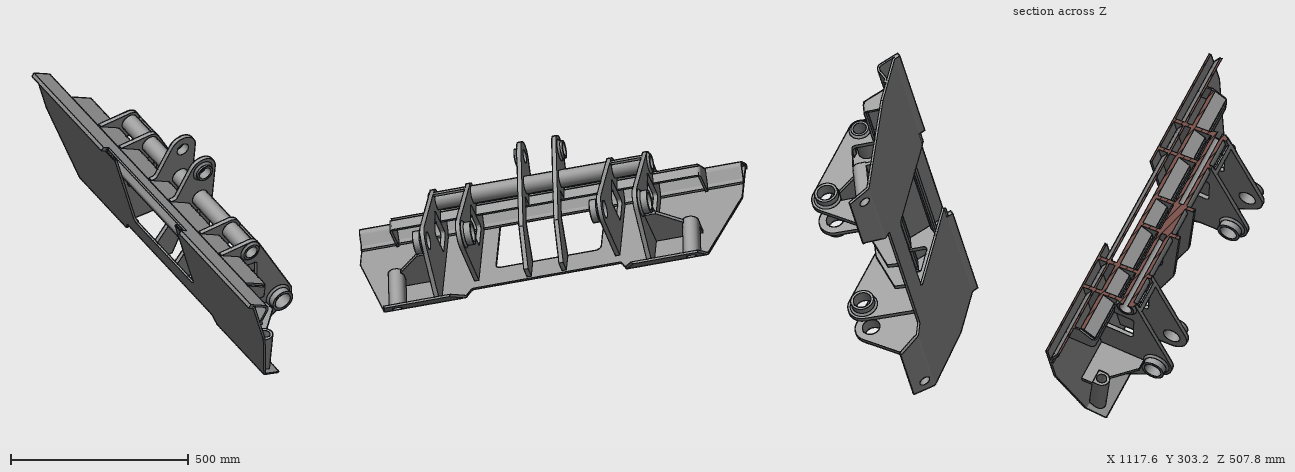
import cadquery as cq
import math


OVERALL_WIDTH = 1117.6
OVERALL_DEPTH = 303.17
OVERALL_HEIGHT = 507.83
SHEET = 6.35
LUG_PLATE = 12.7
INNER_BEND = 6.35
OUTER_BEND = INNER_BEND + SHEET
WELD_LEG = 6.35

FACE_LEAN = math.radians(13.5)
FLANGE_SLOPE = math.radians(31.5)
FRAME_TILT = math.radians(5.2)
FACE_UP = (-math.sin(FACE_LEAN), math.cos(FACE_LEAN))
FACE_BACK = (math.cos(FACE_LEAN), math.sin(FACE_LEAN))
FLANGE_BACK = (math.cos(FLANGE_SLOPE), -math.sin(FLANGE_SLOPE))
FLANGE_NORMAL = (math.sin(FLANGE_SLOPE), math.cos(FLANGE_SLOPE))
FRAME_BACK = (math.cos(FRAME_TILT), -math.sin(FRAME_TILT))
FRAME_UP = (math.sin(FRAME_TILT), math.cos(FRAME_TILT))

FACE_POINT = (60.2, 227.5)
LIP_TIP = (0.0, 425.4)
TOE_TIP_Y = 163.5
SIDE_BREAK_Z = 275.6
SIDE_FOOT_X = 477.0
SIDE_FOOT_Z = 44.0
TOE_OUTER_X = 457.8
NOTCH_TOP_Z = 68.0
NOTCH_HALF_WIDTH = 218.0
NOTCH_FOOT = (236.0, 34.0)
TOE_CORNER = (267.0, 3.0)
NOTCH_FILLET = 10.0
WINDOW_HALF_WIDTH = 154.0
WINDOW_BOTTOM_Z = 143.5
WINDOW_FILLET = 15.9
WINDOW_TOP_ROUND = 6.35
LIP_GAP_HALF_WIDTH = 200.0
LIP_GAP_DEPTH = 21.0

FLANGE_LENGTH = 76.8
CORNER_INNER_BEND = 12.7
CORNER_OUTER_BEND = CORNER_INNER_BEND + SHEET
FOOT_Z = 336.5
BEAM_TOP_FRONT_Y = 61.0
BEAM_HALF_WIDTH = 454.9
BEAM_TOP_BACK_Y = 127.0
BEAM_BOTTOM_BACK = (126.0, 322.0)

TUBE_CENTER = (163.2, 365.9)
TUBE_RADIUS = 25.4
TUBE_BORE_RADIUS = 19.05
EAR_TOP_RADIUS = 33.6
EAR_PIN_RADIUS = 25.4
EAR_BOSS_RADIUS = 33.0
EAR_BOSS_LENGTH = 25.4
EAR_FOOT_RADIUS = 46.7
EAR_PIN = (OVERALL_DEPTH - EAR_FOOT_RADIUS, 139.4)
EAR_TOE_Y = 142.0
INNER_EAR_TOE_Z = 101.0
EAR_INNER_FACES = (199.9, 304.5)
EAR_WINDOW = [(187.0, 312.0), (72.5, 321.5), (92.0, 234.0), (184.0, 225.5)]
EAR_WINDOW_FILLET = 10.0

LUG_INNER_FACE = 45.0
LUG_TOP_RADIUS = 42.6
LUG_PIN = (172.8, OVERALL_HEIGHT - LUG_TOP_RADIUS)
LUG_PIN_RADIUS = 19.05
LUG_BOSS_LENGTH = 12.7
LUG_TOE_Y = 84.0
LUG_TOE_FILLET = 10.0
LUG_FRONT_KNEE = (156.5, 228.0)
LUG_KNEE_FILLET = 25.0
LUG_BACK_KNEE = (191.0, 191.0)
LUG_HEEL = (137.0, 76.0)
LUG_FACE_TOP_Z = 140.0
LUG_FRONT_TOP = (164.0, 320.0)

BAR_LENGTH = 16.0
BAR_OFFSET = 14.0

LOCK_X = 430.5
LOCK_TOP = (138.0, 141.5)
LOCK_BORE_RADIUS = 14.3
LOCK_RADIUS = 23.0
LOCK_FRONT = 18.5
LOCK_LENGTH = 150.0
LOCK_STEP = 3.0
GUSSET_THICKNESS = 9.525
GUSSET_BACK = 80.0
GUSSET_FRONT = 52.0
GUSSET_SHOULDER_X = 349.0

CUT_REACH = 600.0


def move(point, direction, distance):
    return (point[0] + direction[0] * distance, point[1] + direction[1] * distance)


def meet(p, d, q, e):
    """Crossing of the line through p along d with the line through q along e."""
    cross = d[0] * e[1] - d[1] * e[0]
    along = ((q[0] - p[0]) * e[1] - (q[1] - p[1]) * e[0]) / cross
    return move(p, d, along)


def unit(p, q):
    length = math.dist(p, q)
    return ((q[0] - p[0]) / length, (q[1] - p[1]) / length)


def tangent_normal(p, p_radius, q, q_radius):
    """Unit normal of the line touching both circles, on the left going from p to q."""
    heading = math.atan2(q[1] - p[1], q[0] - p[0])
    swing = math.acos((p_radius - q_radius) / math.dist(p, q))
    return (math.cos(heading + swing), math.sin(heading + swing))


def arc_middle(center, radius, first, second):
    """Point of a circle halfway between two unit directions."""
    return move(center, unit((0, 0), (first[0] + second[0], first[1] + second[1])), radius)


def profile(x_start):
    """Sketch plane with local axes Y, Z, extruding toward +X."""
    return cq.Workplane("YZ", origin=(x_start, 0, 0))


def prism(points, x_start, x_end):
    return profile(x_start).polyline(points).close().extrude(x_end - x_start)


def wide_prism(points, half_width):
    return prism(points, -half_width, half_width)


def disc(center, radius, x_start, x_end):
    return profile(x_start).center(*center).circle(radius).extrude(x_end - x_start)


def both_sides(shape):
    return shape.union(shape.mirror("YZ"))


def round_edge(body, point, radius):
    """Round the edge along X that passes nearest to a profile point."""
    return body.edges("|X").edges(cq.selectors.NearestToPointSelector((0, *point))).fillet(radius)


LIP_BEND = meet(LIP_TIP, FLANGE_BACK, FACE_POINT, FACE_UP)
TOE_TIP = (TOE_TIP_Y, 0.0)
TOE_BEND = meet(TOE_TIP, FLANGE_BACK, FACE_POINT, FACE_UP)
FACE_INNER = move(FACE_POINT, FACE_BACK, SHEET)
LIP_TIP_INNER = move(LIP_TIP, FLANGE_NORMAL, SHEET)
LIP_BEND_INNER = meet(LIP_TIP_INNER, FLANGE_BACK, FACE_INNER, FACE_UP)
TOE_TIP_INNER = move(TOE_TIP, FLANGE_NORMAL, SHEET)
TOE_BEND_INNER = meet(TOE_TIP_INNER, FLANGE_BACK, FACE_INNER, FACE_UP)
FLANGE_TIP = move(LIP_TIP_INNER, FLANGE_NORMAL, SHEET)
FLANGE_CORNER = move(FLANGE_TIP, FLANGE_BACK, FLANGE_LENGTH)
FLANGE_CORNER_INNER = move(move(FLANGE_CORNER, FLANGE_NORMAL, -SHEET), FLANGE_BACK, -SHEET)
FOOT_BEND = meet(FLANGE_CORNER_INNER, FLANGE_NORMAL, FACE_INNER, FACE_UP)
FOOT_END = move(FACE_INNER, FACE_UP, (FOOT_Z - FACE_INNER[1]) / FACE_UP[1])
FOOT_END_BACK = move(FOOT_END, FACE_BACK, SHEET)
FOOT_BEND_BACK = meet(FLANGE_CORNER, FLANGE_NORMAL, FOOT_END_BACK, FACE_UP)


def on_flange_top(y):
    return move(FLANGE_TIP, FLANGE_BACK, (y - FLANGE_TIP[0]) / FLANGE_BACK[0])


def inside_face_plate(z):
    """Point in the middle of the face plate's thickness at a height."""
    middle = move(FACE_POINT, FACE_BACK, SHEET / 2)
    return move(middle, FACE_UP, (z - middle[1]) / FACE_UP[1])


def face_plate():
    """Bent sheet: top lip, leaning face and bottom toe, trimmed to its front outline."""
    half = OVERALL_WIDTH / 2
    body = wide_prism(
        [
            LIP_TIP,
            LIP_BEND,
            TOE_BEND,
            TOE_TIP,
            TOE_TIP_INNER,
            TOE_BEND_INNER,
            LIP_BEND_INNER,
            LIP_TIP_INNER,
        ],
        half,
    )
    for point, radius in (
        (LIP_BEND, INNER_BEND),
        (LIP_BEND_INNER, OUTER_BEND),
        (TOE_BEND, OUTER_BEND),
        (TOE_BEND_INNER, INNER_BEND),
    ):
        body = round_edge(body, point, radius)

    below = -SHEET
    side = (
        cq.Workplane("XZ")
        .polyline([
            (half, SIDE_BREAK_Z),
            (SIDE_FOOT_X, SIDE_FOOT_Z),
            (TOE_OUTER_X, 0),
            (TOE_OUTER_X, below),
            (half + SHEET, below),
            (half + SHEET, SIDE_BREAK_Z),
        ])
        .close()
        .extrude(-CUT_REACH)
    )
    notch = (
        cq.Workplane("XZ")
        .polyline([
            (NOTCH_HALF_WIDTH, NOTCH_TOP_Z),
            NOTCH_FOOT,
            TOE_CORNER,
            (TOE_CORNER[0], below),
            (-TOE_CORNER[0], below),
            (-TOE_CORNER[0], TOE_CORNER[1]),
            (-NOTCH_FOOT[0], NOTCH_FOOT[1]),
            (-NOTCH_HALF_WIDTH, NOTCH_TOP_Z),
        ])
        .close()
        .extrude(-CUT_REACH)
        .edges("|Y and >Z")
        .fillet(NOTCH_FILLET)
    )
    return body.cut(both_sides(side)).cut(notch)


def face_window():
    """Cutter for the opening in the face, square to the face and open at its top."""
    plane = cq.Plane(
        origin=(0, *FACE_POINT),
        xDir=(1, 0, 0),
        normal=(0, -FACE_BACK[0], -FACE_BACK[1]),
    )
    top = math.dist(FACE_POINT, LIP_BEND)
    bottom = (WINDOW_BOTTOM_Z - FACE_POINT[1]) / FACE_UP[1]
    height = top + 2 * WINDOW_FILLET - bottom
    opening = (
        cq.Workplane(plane)
        .center(0, bottom + height / 2)
        .rect(2 * WINDOW_HALF_WIDTH, height)
        .extrude(2 * SHEET, both=True)
        .edges(cq.selectors.ParallelDirSelector(plane.zDir))
        .fillet(WINDOW_FILLET)
    )
    flare_width = WINDOW_HALF_WIDTH + WINDOW_TOP_ROUND
    flare_bottom = top - WINDOW_TOP_ROUND
    flare = (
        cq.Workplane(plane)
        .center(0, top)
        .rect(2 * flare_width, 2 * WINDOW_TOP_ROUND)
        .extrude(2 * SHEET, both=True)
    )
    rounds = (
        cq.Workplane(plane)
        .pushPoints([(-flare_width, flare_bottom), (flare_width, flare_bottom)])
        .circle(WINDOW_TOP_ROUND)
        .extrude(2 * SHEET, both=True)
    )
    return opening.union(flare.cut(rounds))


def top_flange():
    """Bent sheet: sloping flange, square return leg and a foot lying on the face plate."""
    body = wide_prism(
        [
            LIP_TIP_INNER,
            FLANGE_TIP,
            FLANGE_CORNER,
            FOOT_BEND_BACK,
            FOOT_END_BACK,
            FOOT_END,
            FOOT_BEND,
            FLANGE_CORNER_INNER,
        ],
        OVERALL_WIDTH / 2,
    )
    for point, radius in (
        (FLANGE_CORNER, CORNER_OUTER_BEND),
        (FLANGE_CORNER_INNER, CORNER_INNER_BEND),
        (FOOT_BEND, OUTER_BEND),
        (FOOT_BEND_BACK, INNER_BEND),
    ):
        body = round_edge(body, point, radius)
    return body


def lip_gap():
    """Cutter that sets back the lip and flange edge across the middle."""
    clear = 2 * SHEET
    top = move(FLANGE_TIP, FLANGE_NORMAL, clear)
    front_top = move(top, FLANGE_BACK, -clear)
    back_top = move(top, FLANGE_BACK, LIP_GAP_DEPTH)
    drop = -2 * SHEET - clear
    return wide_prism(
        [front_top, back_top, move(back_top, FLANGE_NORMAL, drop), move(front_top, FLANGE_NORMAL, drop)],
        LIP_GAP_HALF_WIDTH,
    )


def box_beam():
    """Sloping top sheet over a bent tray that is open at the bottom."""
    front_top = on_flange_top(BEAM_TOP_FRONT_Y)
    back_top = on_flange_top(BEAM_TOP_BACK_Y)
    front_under = move(front_top, FLANGE_NORMAL, -SHEET)
    back_under = move(back_top, FLANGE_NORMAL, -SHEET)
    cover = wide_prism([front_top, back_top, back_under, front_under], BEAM_HALF_WIDTH - SHEET)

    leg_middle = move(FLANGE_CORNER, FLANGE_BACK, -SHEET / 2)
    tray_front_top = meet(leg_middle, FLANGE_NORMAL, front_under, FLANGE_BACK)
    tray_front = inside_face_plate(FOOT_Z)
    tray_knee = meet(leg_middle, FLANGE_NORMAL, tray_front, FACE_UP)
    tray_corner = meet(BEAM_BOTTOM_BACK, FRAME_BACK, FACE_INNER, FACE_UP)
    tray_top_back = meet(BEAM_BOTTOM_BACK, FRAME_UP, front_under, FLANGE_BACK)
    outline = [tray_front_top, tray_top_back, BEAM_BOTTOM_BACK, tray_corner, tray_front, tray_knee]
    tray = wide_prism(outline, BEAM_HALF_WIDTH)
    rear_middle = move(BEAM_BOTTOM_BACK, FRAME_UP, OUTER_BEND)
    for side in (-BEAM_HALF_WIDTH, BEAM_HALF_WIDTH):
        corner = cq.selectors.NearestToPointSelector((side, *rear_middle))
        tray = tray.edges(corner).fillet(OUTER_BEND)

    inner_bottom = move(move(BEAM_BOTTOM_BACK, FRAME_BACK, -SHEET), FRAME_UP, -SHEET)
    inner_top = meet(inner_bottom, FRAME_UP, front_under, FLANGE_BACK)
    hollow = [
        tray_front_top,
        inner_top,
        inner_bottom,
        move(tray_corner, FRAME_UP, -SHEET),
        tray_corner,
        tray_front,
        tray_knee,
    ]
    tray = tray.cut(wide_prism(hollow, BEAM_HALF_WIDTH - SHEET))
    return cover.union(tray)


EAR_BACK_NORMAL = tangent_normal(TUBE_CENTER, EAR_TOP_RADIUS, EAR_PIN, EAR_FOOT_RADIUS)
INNER_EAR_TOE = meet((0, INNER_EAR_TOE_Z), (1, 0), FACE_INNER, FACE_UP)
OUTER_EAR_TOE = meet((EAR_TOE_Y, 0), (0, 1), TOE_TIP_INNER, FLANGE_BACK)


def ear(x_start, foot):
    """Side plate carrying the lower pin and the cross tube; foot lists its lower end points."""
    top = (TUBE_CENTER[0], TUBE_CENTER[1] + EAR_TOP_RADIUS)
    toe_normal = tangent_normal(EAR_PIN, EAR_FOOT_RADIUS, foot[0], 0)
    flange_meet = meet(top, (1, 0), FLANGE_TIP, FLANGE_BACK)
    body = (
        profile(x_start)
        .moveTo(*top)
        .threePointArc(
            arc_middle(TUBE_CENTER, EAR_TOP_RADIUS, (0, 1), EAR_BACK_NORMAL),
            move(TUBE_CENTER, EAR_BACK_NORMAL, EAR_TOP_RADIUS),
        )
        .lineTo(*move(EAR_PIN, EAR_BACK_NORMAL, EAR_FOOT_RADIUS))
        .threePointArc(
            arc_middle(EAR_PIN, EAR_FOOT_RADIUS, EAR_BACK_NORMAL, toe_normal),
            move(EAR_PIN, toe_normal, EAR_FOOT_RADIUS),
        )
        .polyline([*foot, LIP_BEND_INNER, FLANGE_CORNER_INNER, flange_meet], includeCurrent=True)
        .close()
        .extrude(LUG_PLATE)
    )
    window = prism(EAR_WINDOW, x_start, x_start + LUG_PLATE).edges("|X").fillet(EAR_WINDOW_FILLET)
    return body.cut(window)


def center_lug(x_start):
    """Upper pin lug: passes behind the beam and sweeps forward to the face plate."""
    lug_back_top = move(LUG_PIN, FRAME_BACK, LUG_TOP_RADIUS)
    toe_height = TUBE_CENTER[1] + EAR_TOP_RADIUS
    toe = (LUG_TOE_Y, toe_height)
    flange_meet = meet(toe, (1, 0), FLANGE_TIP, FLANGE_BACK)
    rear_bottom = move(BEAM_BOTTOM_BACK, FRAME_BACK, -SHEET / 2)
    cover_middle = move(FLANGE_TIP, FLANGE_NORMAL, -SHEET / 2)
    rear_top = meet(rear_bottom, FRAME_UP, cover_middle, FLANGE_BACK)
    front_normal = tangent_normal(toe, 0, LUG_PIN, LUG_TOP_RADIUS)
    body = (
        profile(x_start)
        .moveTo(*move(LUG_PIN, front_normal, LUG_TOP_RADIUS))
        .threePointArc(move(LUG_PIN, (0, 1), LUG_TOP_RADIUS), lug_back_top)
        .lineTo(*LUG_BACK_KNEE)
        .lineTo(*LUG_HEEL)
        .lineTo(*inside_face_plate(LUG_HEEL[1]))
        .lineTo(*inside_face_plate(LUG_FACE_TOP_Z))
        .lineTo(*LUG_FRONT_KNEE)
        .lineTo(*LUG_FRONT_TOP)
        .lineTo(*rear_bottom)
        .lineTo(*rear_top)
        .lineTo(*flange_meet)
        .lineTo(*toe)
        .close()
        .extrude(LUG_PLATE)
    )
    body = round_edge(body, LUG_FRONT_KNEE, LUG_KNEE_FILLET)
    return round_edge(body, toe, LUG_TOE_FILLET)


def boss(center, radius, length, plate_face, outward):
    """Round boss on a plate face with a conical weld bead at its root."""
    sleeve = disc(center, radius, plate_face, plate_face + outward * length)
    bead = (
        profile(plate_face)
        .center(*center)
        .circle(radius + WELD_LEG)
        .workplane(offset=outward * WELD_LEG)
        .circle(radius)
        .loft()
    )
    return sleeve.union(bead)


def spacer_bar():
    """Flat bar between a pair of ears, flush with their back edges."""
    down = (EAR_BACK_NORMAL[1], -EAR_BACK_NORMAL[0])
    start = move(move(TUBE_CENTER, EAR_BACK_NORMAL, EAR_TOP_RADIUS), down, BAR_OFFSET)
    end = move(start, down, BAR_LENGTH)
    corners = [start, end, move(end, EAR_BACK_NORMAL, -SHEET), move(start, EAR_BACK_NORMAL, -SHEET)]
    return prism(corners, EAR_INNER_FACES[0] + LUG_PLATE, EAR_INNER_FACES[1])


LOCK_PLANE = cq.Plane(
    origin=(LOCK_X, *LOCK_TOP),
    xDir=(1, 0, 0),
    normal=(0, *FRAME_UP),
)


def lock_block():
    """U-shaped pin block and the corner gusset joining it to the outer ear."""
    block = (
        cq.Workplane(LOCK_PLANE)
        .workplane(offset=LOCK_STEP)
        .moveTo(LOCK_RADIUS, -LOCK_FRONT)
        .lineTo(LOCK_RADIUS, 0)
        .threePointArc((0, LOCK_RADIUS), (-LOCK_RADIUS, 0))
        .lineTo(-LOCK_RADIUS, -LOCK_FRONT)
        .close()
        .extrude(-LOCK_LENGTH)
    )
    ear_x = EAR_INNER_FACES[1] + LUG_PLATE / 2 - LOCK_X
    gusset = (
        cq.Workplane(LOCK_PLANE)
        .polyline([
            (ear_x, -GUSSET_FRONT),
            (LOCK_RADIUS, -GUSSET_FRONT),
            (LOCK_RADIUS, 0),
            (0, 0),
            (GUSSET_SHOULDER_X - LOCK_X, GUSSET_BACK),
            (ear_x, GUSSET_BACK),
        ])
        .close()
        .extrude(-GUSSET_THICKNESS)
    )
    toe_middle = move(TOE_TIP, FLANGE_NORMAL, SHEET / 2)
    far_back = move(toe_middle, FLANGE_BACK, OVERALL_DEPTH)
    far_front = move(toe_middle, FLANGE_BACK, -OVERALL_DEPTH)
    below_toe = prism(
        [
            far_front,
            far_back,
            move(far_back, FLANGE_NORMAL, -CUT_REACH),
            move(far_front, FLANGE_NORMAL, -CUT_REACH),
        ],
        0,
        OVERALL_WIDTH / 2,
    )
    return block.cut(below_toe).union(gusset)


def lock_bore():
    return cq.Workplane(LOCK_PLANE).circle(LOCK_BORE_RADIUS).extrude(-LOCK_LENGTH, both=True)


def build():
    inner_ear, outer_ear = EAR_INNER_FACES
    outer_face = outer_ear + LUG_PLATE
    tube_end = outer_face + WELD_LEG
    lug_outer_face = LUG_INNER_FACE + LUG_PLATE

    half = ear(inner_ear, [INNER_EAR_TOE]).union(ear(outer_ear, [OUTER_EAR_TOE, TOE_BEND_INNER]))
    half = half.union(center_lug(LUG_INNER_FACE))
    half = half.union(boss(EAR_PIN, EAR_BOSS_RADIUS, EAR_BOSS_LENGTH, outer_face, 1))
    half = half.union(boss(EAR_PIN, EAR_BOSS_RADIUS, EAR_BOSS_LENGTH, inner_ear, -1))
    half = half.union(boss(LUG_PIN, TUBE_RADIUS, LUG_BOSS_LENGTH, lug_outer_face, 1))
    half = half.union(boss(TUBE_CENTER, TUBE_RADIUS, WELD_LEG, outer_face, 1))
    half = half.union(disc(TUBE_CENTER, TUBE_RADIUS, 0, outer_face))
    half = half.union(spacer_bar()).union(lock_block())
    half = half.cut(disc(EAR_PIN, EAR_PIN_RADIUS, 0, CUT_REACH))
    half = half.cut(disc(LUG_PIN, LUG_PIN_RADIUS, 0, CUT_REACH))
    half = half.cut(disc(TUBE_CENTER, TUBE_BORE_RADIUS, lug_outer_face, tube_end))

    face = face_plate().cut(face_window())
    sheets = face.union(top_flange()).cut(lip_gap()).union(box_beam())
    return sheets.union(both_sides(half)).cut(both_sides(lock_bore()))


result = build()